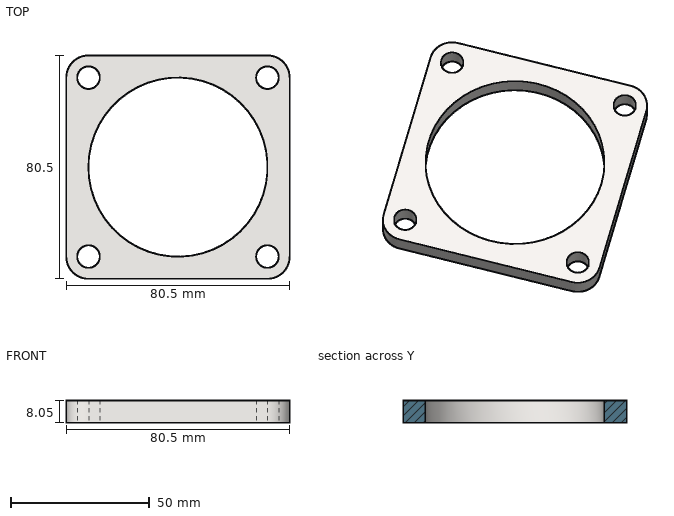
import cadquery as cq

side = 80.5
thickness = 8.05
corner_radius = 8.05

bore_diameter = 64.4
bolt_hole_diameter = 8.05
bolt_spacing = side - 2 * corner_radius

plate = cq.Workplane("XY").box(side, side, thickness).edges("|Z").fillet(corner_radius)

bored_plate = plate.faces(">Z").workplane().hole(bore_diameter)

result = (
    bored_plate.faces(">Z")
    .workplane(origin=(0, 0, 0))
    .rect(bolt_spacing, bolt_spacing, forConstruction=True)
    .vertices()
    .hole(bolt_hole_diameter)
)